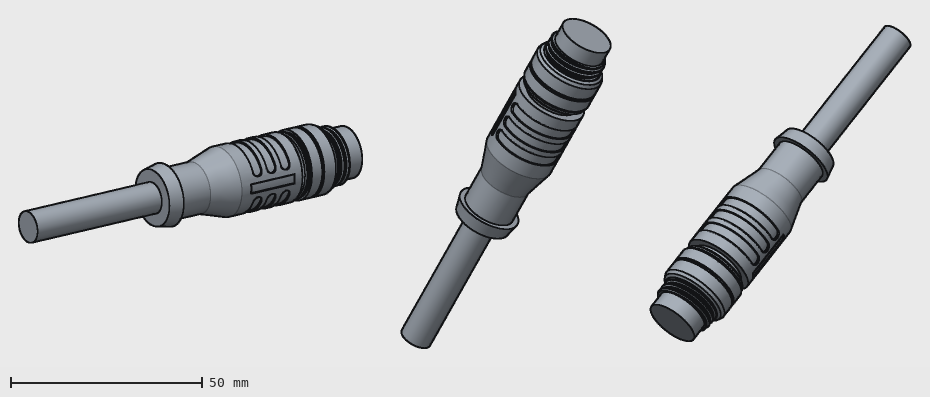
import cadquery as cq

total_length = 102.5
tip_level = total_length / 2

nose_dia = 14.0
thread_start = 4.5
thread_end = 9.2
thread_root_dia = 15.0
thread_crest_dia = 16.0
thread_pitch = 1.5
thread_turns = 5
thread_base_width = 1.4
thread_crest_width = 0.3
thread_overlap = 0.2
helix_start = 11.0

outer_dia = 19.0
ring_front = 8.7
ring_front_dia = 16.4
ring_shoulder = 9.2
ring_shoulder_dia = 18.0
ring_full = 10.2
groove_start = 13.9
groove_end = 14.6
groove_dia = 18.6
ring_full_end = 17.9
relief_dia = 17.6
lip_start = 18.6
lip_dia = 18.0
ring_end = 19.6
lip_chamfer = 0.4
neck_dia = 14.6

body_start = 21.0
body_end = 40.6
taper_end = 48.9
stem_dia = 14.0
collar_start = 58.5
collar_end = 62.5
collar_large_dia = 17.1
collar_small_dia = 15.4
cable_dia = 8.5

recess_floor_dia = 18.0
first_recess_depth = 25.8
recess_spacing = 4.5
recess_count = 3
recess_width = 2.9
recess_tip_height = 2.9

panel_start = 23.5
panel_end = 37.4
panel_width = 3.0
panel_floor_width = 2.4
panel_floor_dia = 18.6


def level(depth):
    """Local Z height of a point at the given depth from the plug tip."""
    return tip_level - depth


def make_turned_body():
    """Revolve the stepped half profile, given as (diameter, depth) corners."""
    corners = [
        (0, 0),
        (nose_dia, 0),
        (nose_dia, thread_start),
        (thread_root_dia, thread_start),
        (thread_root_dia, ring_front),
        (ring_front_dia, ring_front),
        (ring_shoulder_dia, ring_shoulder),
        (outer_dia, ring_full),
        (outer_dia, groove_start),
        (groove_dia, groove_start),
        (groove_dia, groove_end),
        (outer_dia, groove_end),
        (outer_dia, ring_full_end),
        (relief_dia, ring_full_end),
        (relief_dia, lip_start),
        (lip_dia, lip_start),
        (lip_dia, ring_end - lip_chamfer),
        (lip_dia - 2 * lip_chamfer, ring_end),
        (neck_dia, ring_end),
        (neck_dia, body_start),
        (outer_dia, body_start),
        (outer_dia, body_end),
        (stem_dia, taper_end),
        (stem_dia, collar_start),
        (collar_large_dia, collar_start),
        (collar_small_dia, collar_end),
        (cable_dia, collar_end),
        (cable_dia, total_length),
        (0, total_length),
    ]
    points = [(dia / 2, level(depth)) for dia, depth in corners]
    return cq.Workplane("XZ").polyline(points).close().revolve(360, (0, 0), (0, 1))


def make_thread():
    """Right-hand V ridge swept along a helix and trimmed to the threaded length."""
    buried_radius = thread_root_dia / 2 - thread_overlap
    crest_radius = thread_crest_dia / 2
    half_base = thread_base_width / 2
    half_crest = thread_crest_width / 2
    start_level = level(helix_start)
    helix = cq.Wire.makeHelix(
        thread_pitch, thread_turns * thread_pitch, buried_radius, center=cq.Vector(0, 0, start_level)
    )
    ridge = (
        cq.Workplane("XZ")
        .polyline([
            (buried_radius, start_level - half_base),
            (crest_radius, start_level - half_crest),
            (crest_radius, start_level + half_crest),
            (buried_radius, start_level + half_base),
        ])
        .close()
        .sweep(cq.Workplane(helix), isFrenet=True)
    )
    threaded_zone = (
        cq.Workplane("XY", origin=(0, 0, level(thread_end)))
        .circle(outer_dia / 2)
        .extrude(thread_end - thread_start)
    )
    return ridge.intersect(threaded_zone)


def make_grip_shell(floor_dia):
    """Skin of the grip between its outer surface and a recess floor."""
    return (
        cq.Workplane("XY", origin=(0, 0, level(body_end)))
        .circle(outer_dia)
        .circle(floor_dia / 2)
        .extrude(body_end - body_start)
    )


def make_finger_recess(center_depth, side):
    """Round-ended band over one face of the grip; side is +1 or -1 along local Y."""
    half_width = recess_width / 2
    straight_start = recess_tip_height + half_width
    outline = (
        cq.Workplane("YZ")
        .center(0, level(center_depth))
        .moveTo(side * outer_dia, -half_width)
        .lineTo(side * straight_start, -half_width)
        .threePointArc((side * recess_tip_height, 0), (side * straight_start, half_width))
        .lineTo(side * outer_dia, half_width)
        .close()
    )
    return outline.extrude(outer_dia, both=True).intersect(make_grip_shell(recess_floor_dia))


def make_side_panel(side):
    """Rectangular recess with sloping long walls; side is +1 or -1 along X."""
    floor_x = side * panel_floor_dia / 2
    mouth_x = side * outer_dia / 2
    trapezoid = [
        (0, -panel_floor_width / 2),
        (floor_x, -panel_floor_width / 2),
        (mouth_x, -panel_width / 2),
        (mouth_x, panel_width / 2),
        (floor_x, panel_floor_width / 2),
        (0, panel_floor_width / 2),
    ]
    prism = (
        cq.Workplane("XY", origin=(0, 0, level(panel_end)))
        .polyline(trapezoid)
        .close()
        .extrude(panel_end - panel_start)
    )
    return prism.intersect(make_grip_shell(panel_floor_dia))


connector = make_turned_body().union(make_thread())
for index in range(recess_count):
    center_depth = first_recess_depth + index * recess_spacing
    for side in (1, -1):
        connector = connector.cut(make_finger_recess(center_depth, side))
for side in (1, -1):
    connector = connector.cut(make_side_panel(side))

result = connector.rotate((0, 0, 0), (1, 0, 0), -90)